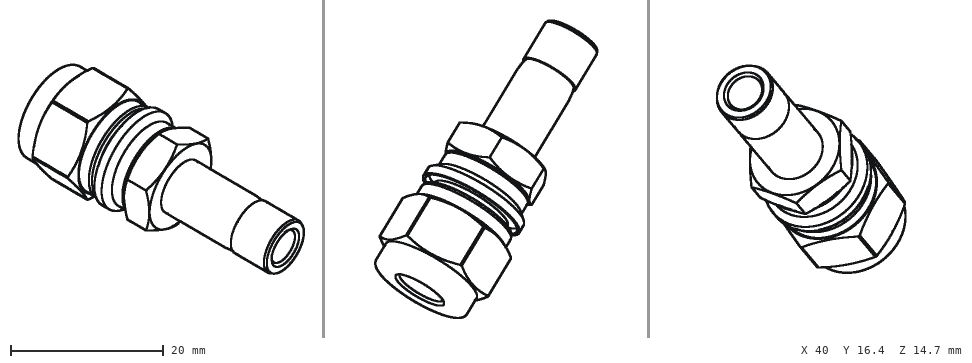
import cadquery as cq
import math

nut_hex_start = 3.0
nut_hex_end = 10.5
nut_end = 12.57
flange_start = 13.55
flange_recess_end = 14.4
flange_rim_end = 14.77
flange_cone_end = 15.7
body_hex_start = 17.78
body_hex_end = 22.15
groove_start = 32.4
groove_end = 34.05
total_length = 40.05

nose_diameter = 13.9
collar_diameter = 13.6
neck_diameter = 11.15
flange_diameter = 14.6
flange_recess_diameter = 13.9
shoulder_diameter = 12.6
tube_diameter = 7.93
groove_diameter = 7.4

nut_across_flats = 14.35
nut_across_corners = 16.4
body_across_corners = 14.65
body_across_flats = body_across_corners * math.cos(math.pi / 6)
nut_hex_turn = 0
body_hex_turn = 30
hex_chamfer_angle = math.radians(30)

bore_diameter = 4.85
tube_end_bore_diameter = 5.6
socket_diameter = 6.55
socket_mouth_diameter = 7.35
socket_depth = 15.2

nose_fillet = 0.52
collar_chamfer_length = 0.4
collar_chamfer_depth = 0.15
shoulder_chamfer = 0.32
tube_chamfer_length = 0.35
tube_chamfer_depth = 0.15


def revolve_profile(points):
    """Revolve a closed (x, radius) outline around the X axis."""
    return cq.Workplane("XY").polyline(points).close().revolve(360, (0, 0, 0), (1, 0, 0))


def chamfered_hex(start, end, across_flats, corner_diameter, end_diameter, turn):
    """Hexagonal prism along X whose corners are turned conical at both ends; turn is in degrees."""
    sharp_corners = across_flats / math.cos(math.pi / 6)
    prism = (
        cq.Workplane("YZ", origin=(start, 0, 0))
        .transformed(rotate=(0, 0, turn))
        .polygon(6, sharp_corners)
        .extrude(end - start)
    )
    corner_radius = corner_diameter / 2
    end_radius = end_diameter / 2
    cone_length = (corner_radius - end_radius) * math.tan(hex_chamfer_angle)
    envelope = revolve_profile([
        (start, 0),
        (start, end_radius),
        (start + cone_length, corner_radius),
        (end - cone_length, corner_radius),
        (end, end_radius),
        (end, 0),
    ])
    return prism.intersect(envelope)


def make_nut():
    nose = cq.Workplane("YZ").circle(nose_diameter / 2).extrude(nut_hex_start)
    nose = nose.faces("<X").edges().fillet(nose_fillet)
    hexagon = chamfered_hex(
        nut_hex_start, nut_hex_end, nut_across_flats, nut_across_corners, nose_diameter, nut_hex_turn
    )
    collar_radius = collar_diameter / 2
    collar = revolve_profile([
        (nut_hex_end, 0),
        (nut_hex_end, collar_radius),
        (nut_end - collar_chamfer_length, collar_radius),
        (nut_end, collar_radius - collar_chamfer_depth),
        (nut_end, 0),
    ])
    return nose.union(hexagon).union(collar)


def make_body():
    """Neck, flange with a conical recess around the neck, shoulder and hexagon."""
    neck_radius = neck_diameter / 2
    flange_radius = flange_diameter / 2
    recess_radius = flange_recess_diameter / 2
    shoulder_radius = shoulder_diameter / 2
    flange = revolve_profile([
        (nut_end, 0),
        (nut_end, neck_radius),
        (flange_start, neck_radius),
        (flange_recess_end, recess_radius),
        (flange_start, recess_radius),
        (flange_start, flange_radius),
        (flange_rim_end, flange_radius),
        (flange_cone_end, shoulder_radius),
        (body_hex_start - shoulder_chamfer, shoulder_radius),
        (body_hex_start, shoulder_radius - shoulder_chamfer),
        (body_hex_start, 0),
    ])
    hexagon = chamfered_hex(
        body_hex_start, body_hex_end, body_across_flats, body_across_corners, shoulder_diameter, body_hex_turn
    )
    return flange.union(hexagon)


def make_tube_stub():
    """Plain tube with a groove that curves smoothly down to a square step."""
    tube_radius = tube_diameter / 2
    outline = (
        cq.Workplane("XY")
        .moveTo(body_hex_end, 0)
        .lineTo(body_hex_end, tube_radius)
        .lineTo(groove_start, tube_radius)
        .tangentArcPoint((groove_end, groove_diameter / 2), relative=False)
        .lineTo(groove_end, tube_radius)
        .lineTo(total_length - tube_chamfer_length, tube_radius)
        .lineTo(total_length, tube_radius - tube_chamfer_depth)
        .lineTo(total_length, 0)
        .close()
    )
    return outline.revolve(360, (0, 0, 0), (1, 0, 0))


def make_bore():
    """Through bore, tube socket with a tapered mouth, and a countersunk tube end."""
    bore_radius = bore_diameter / 2
    socket_radius = socket_diameter / 2
    mouth_radius = socket_mouth_diameter / 2
    end_radius = tube_end_bore_diameter / 2
    return revolve_profile([
        (0, 0),
        (0, mouth_radius),
        (mouth_radius - socket_radius, socket_radius),
        (socket_depth, socket_radius),
        (socket_depth, bore_radius),
        (total_length - (end_radius - bore_radius), bore_radius),
        (total_length, end_radius),
        (total_length, 0),
    ])


result = make_nut().union(make_body()).union(make_tube_stub()).cut(make_bore())